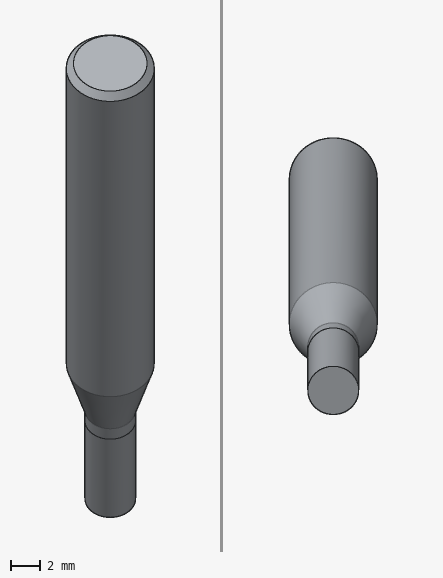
import cadquery as cq

total_length = 45.0
shank_diameter = 6.0
tip_diameter = 3.45
tip_length = 8.1
neck_length = 1.1
taper_length = 4.75
end_chamfer = 0.5

shank_radius = shank_diameter / 2
tip_radius = tip_diameter / 2

bottom_z = -total_length / 2
top_z = bottom_z + total_length
joint_z = bottom_z + tip_length
taper_start_z = joint_z + neck_length
taper_end_z = taper_start_z + taper_length


def make_cutting_tip():
    """Plain cylinder that butts against the end of the holder."""
    return cq.Workplane("XY", origin=(0, 0, bottom_z)).circle(tip_radius).extrude(tip_length)


def make_holder():
    """Neck, conical taper and chamfered shank, revolved as one profile."""
    profile = [
        (0, joint_z),
        (tip_radius, joint_z),
        (tip_radius, taper_start_z),
        (shank_radius, taper_end_z),
        (shank_radius, top_z - end_chamfer),
        (shank_radius - end_chamfer, top_z),
        (0, top_z),
    ]
    return cq.Workplane("XZ").polyline(profile).close().revolve(360, (0, 0, 0), (0, 1, 0))


cutting_tip = make_cutting_tip()
holder = make_holder()

result = cq.Compound.makeCompound([cutting_tip.val(), holder.val()])